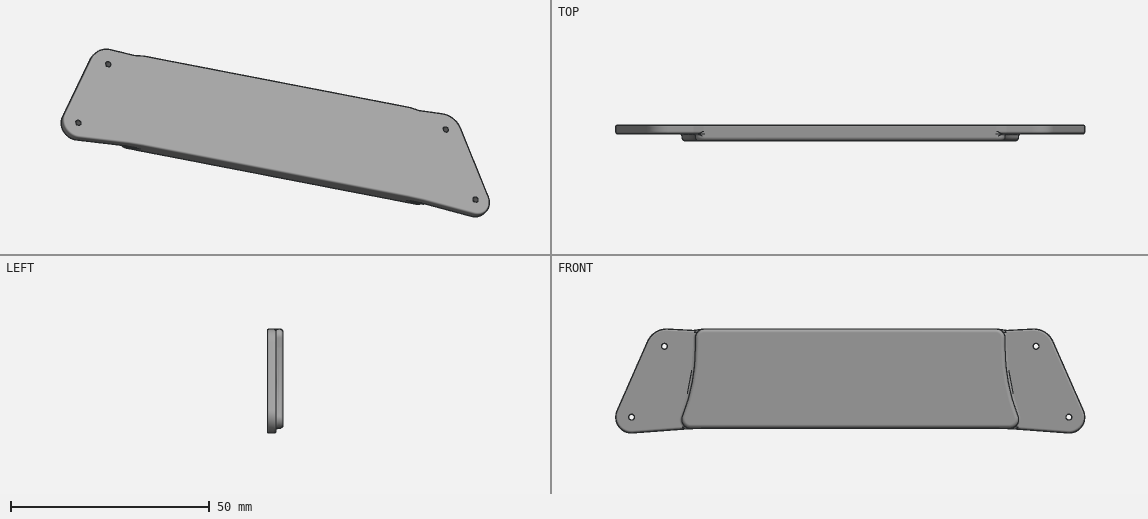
import cadquery as cq
import math

depth = 4.0
back_y = depth / 2
plate_thickness = 2.2
plate_back_round = 0.5
plate_front_round = 0.6
plate_front_y = back_y - plate_thickness

half_length = 59.0
half_height = 13.1
low_corner_radius = 4.0
high_corner_radius = 5.3
low_hole = (-half_length + low_corner_radius, -half_height + low_corner_radius)
high_hole = (-46.7, 8.7)
high_corner_center = (-46.1, half_height - high_corner_radius)
hole_diameter = 1.4

middle_half_length = 36.8
middle_top = half_height
middle_bottom = -11.9
shoulder_top = (-39.4, 12.7)
shoulder_bottom = (-40.7, -12.0)

panel_top_half_length = 38.9
panel_end_straight = 4.7
panel_end_radius = 47.2
panel_top_corner_radius = 2.2
panel_bottom_corner_radius = 2.2
panel_edge_round = 1.0
panel_foot_round = 0.6

selection_margin = 0.01


def plane_at(y):
    """Sketch plane facing -Y, with sketch axes X and Z."""
    return cq.Workplane("XZ", origin=(0, y, 0))


def mirrored(point):
    """The matching point on the other wing."""
    return (-point[0], point[1])


def outer_tangent(start, start_radius, end, end_radius):
    """Tangent points on two circles, on the right-hand side going from start to end."""
    length = math.dist(start, end)
    along = ((end[0] - start[0]) / length, (end[1] - start[1]) / length)
    lean = (start_radius - end_radius) / length
    side = math.sqrt(1 - lean**2)
    normal = (lean * along[0] + side * along[1], lean * along[1] - side * along[0])
    return [
        (center[0] + radius * normal[0], center[1] + radius * normal[1])
        for center, radius in ((start, start_radius), (end, end_radius))
    ]


def arc_middle(center, radius, start, end):
    """Point halfway along the short arc from start to end."""
    toward = (start[0] + end[0] - 2 * center[0], start[1] + end[1] - 2 * center[1])
    scale = radius / math.hypot(*toward)
    return (center[0] + scale * toward[0], center[1] + scale * toward[1])


def plate_outline(y):
    """Closed outline of the plate, mirrored left to right, on the plane at y."""
    _, high_start = outer_tangent(shoulder_top, 0, high_corner_center, high_corner_radius)
    high_end, low_start = outer_tangent(
        high_corner_center, high_corner_radius, low_hole, low_corner_radius
    )
    low_end, _ = outer_tangent(low_hole, low_corner_radius, shoulder_bottom, 0)
    high_middle = arc_middle(high_corner_center, high_corner_radius, high_start, high_end)
    low_middle = arc_middle(low_hole, low_corner_radius, low_start, low_end)

    return (
        plane_at(y)
        .moveTo(middle_half_length, middle_top)
        .lineTo(-middle_half_length, middle_top)
        .lineTo(*shoulder_top)
        .lineTo(*high_start)
        .threePointArc(high_middle, high_end)
        .lineTo(*low_start)
        .threePointArc(low_middle, low_end)
        .lineTo(*shoulder_bottom)
        .lineTo(-middle_half_length, middle_bottom)
        .lineTo(middle_half_length, middle_bottom)
        .lineTo(*mirrored(shoulder_bottom))
        .lineTo(*mirrored(low_end))
        .threePointArc(mirrored(low_middle), mirrored(low_start))
        .lineTo(*mirrored(high_end))
        .threePointArc(mirrored(high_middle), mirrored(high_start))
        .lineTo(*mirrored(shoulder_top))
        .close()
    )


def make_plate():
    """Flat plate with rounded front and back rims."""
    plate = plate_outline(back_y).extrude(plate_thickness)
    plate = plate.faces(">Y").edges().fillet(plate_back_round)
    return plate.faces("<Y").edges().fillet(plate_front_round)


def make_panel():
    """Panel with a concave foot; it is rooted in the plate, behind the front rounding."""
    root_y = plate_front_y + plate_front_round
    front_y = -depth / 2
    arc_top = middle_top - panel_end_straight

    def end_point(z):
        """Point at height z on the left concave end."""
        drop = arc_top - z
        flare = panel_end_radius - math.sqrt(panel_end_radius**2 - drop**2)
        return (-panel_top_half_length - flare, z)

    arc_center = end_point((arc_top + middle_bottom) / 2)
    bottom_corner = end_point(middle_bottom)
    panel = (
        plane_at(root_y)
        .moveTo(panel_top_half_length, middle_top)
        .lineTo(-panel_top_half_length, middle_top)
        .lineTo(-panel_top_half_length, arc_top)
        .threePointArc(arc_center, bottom_corner)
        .lineTo(*mirrored(bottom_corner))
        .threePointArc(mirrored(arc_center), (panel_top_half_length, arc_top))
        .close()
        .extrude(root_y - front_y)
    )
    panel = panel.edges("|Y and >Z").fillet(panel_top_corner_radius)
    panel = panel.edges("|Y and <Z").fillet(panel_bottom_corner_radius)
    panel = panel.faces("<Y").edges().fillet(panel_edge_round)

    slab = (
        plane_at(root_y)
        .rect(4 * half_length, 4 * half_height)
        .extrude(root_y - plate_front_y)
    )
    footed = slab.union(panel)
    foot_edges = cq.selectors.BoxSelector(
        (-half_length, plate_front_y - selection_margin, -half_height),
        (half_length, plate_front_y + selection_margin, half_height + selection_margin),
        boundingbox=True,
    )
    footed = footed.edges(foot_edges).fillet(panel_foot_round)
    trim = plate_outline(plate_front_y).extrude(plate_front_y - front_y)
    return panel.union(footed.intersect(trim))


holes = (
    plane_at(back_y)
    .pushPoints([low_hole, high_hole, mirrored(low_hole), mirrored(high_hole)])
    .circle(hole_diameter / 2)
    .extrude(plate_thickness)
)

result = make_plate().union(make_panel()).cut(holes)